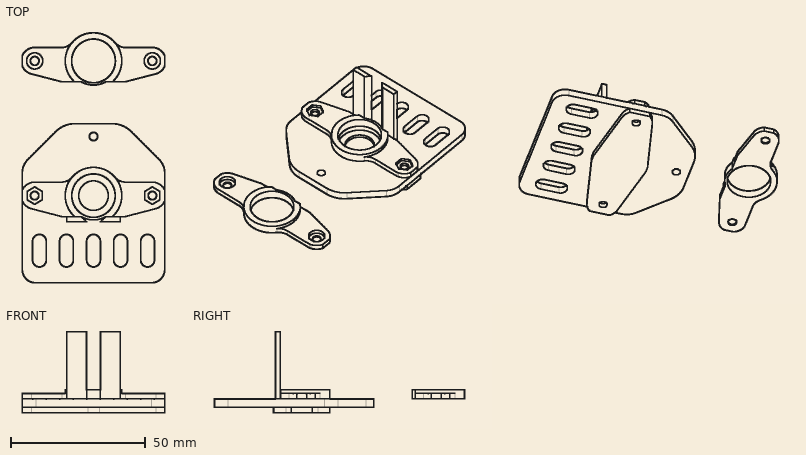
import cadquery as cq
import math

width = 53.0
plate_thickness = 3.2
backing_thickness = 2.0
spare_clamp_y = 50.0
screw_offset_x = 21.8

plate_front_y = -32.4
plate_back_y = 26.8
plate_corner_cut = 15.4
front_corner_radius = 5.0
side_bend_radius = 7.0
back_bend_radius = 10.0
plate_screw_diameter = 3.0
back_hole_y = 21.9
seat_diameter = 16.1
seat_depth = 2.0
floor_hole_diameter = 11.0
slot_count = 5
slot_pitch = 10.0
slot_width = 5.0
slot_length = 12.0
slot_y = -20.4

ring_radius = 10.5
ring_bore_diameter = 16.2
ring_height = 3.4
arm_thickness = 2.0
arm_end_radius = 5.0
arm_fillet_radius = 5.0
clamp_front_y = -7.8
lip_radius = 9.0
clamp_screw_diameter = 3.2
counterbore_diameter = 6.0
counterbore_depth = 1.5
nut_corner_diameter = 6.4
nut_depth = 1.0

backing_end_radius = 6.0

tab_outer_x = 9.9
tab_clearance = 0.1
tab_thickness = 1.9
tab_height = 25.0

screw_points = [(-screw_offset_x, 0), (screw_offset_x, 0)]


def make_plate():
    half_width = width / 2
    side_bend_y = plate_back_y - plate_corner_cut
    back_half_width = half_width - plate_corner_cut
    blank = (
        cq.Workplane("XY", origin=(0, 0, -plate_thickness))
        .moveTo(-half_width, plate_front_y)
        .lineTo(half_width, plate_front_y)
        .lineTo(half_width, side_bend_y)
        .lineTo(back_half_width, plate_back_y)
        .lineTo(-back_half_width, plate_back_y)
        .lineTo(-half_width, side_bend_y)
        .close()
        .extrude(plate_thickness)
    )
    blank = blank.edges("|Z and <Y").fillet(front_corner_radius)
    blank = blank.edges("|Z and >Y").fillet(back_bend_radius)
    for side in (-1, 1):
        bend = cq.selectors.NearestToPointSelector((side * half_width, side_bend_y, -plate_thickness / 2))
        blank = blank.edges("|Z").edges(bend).fillet(side_bend_radius)

    blank = blank.faces(">Z").workplane(origin=(0, 0, 0))
    blank = blank.cboreHole(floor_hole_diameter, seat_diameter, seat_depth)
    screw_holes = screw_points + [(0, back_hole_y)]
    blank = blank.faces(">Z").workplane(origin=(0, 0, 0)).pushPoints(screw_holes).hole(plate_screw_diameter)
    slots = (
        cq.Workplane("XY", origin=(0, slot_y, 0))
        .rarray(slot_pitch, 0.9, slot_count, 1)
        .slot2D(slot_length, slot_width, angle=90)
        .extrude(-plate_thickness)
    )
    return blank.cut(slots)


def tapered_bar(end_radius, thickness):
    """Outline tangent to the ring circle and both end circles, trimmed to the overall width."""
    tilt = math.asin((ring_radius - end_radius) / screw_offset_x)
    ring_x = ring_radius * math.sin(tilt)
    ring_y = ring_radius * math.cos(tilt)
    end_x = screw_offset_x + end_radius * math.sin(tilt)
    end_y = end_radius * math.cos(tilt)
    tip_x = screw_offset_x + end_radius
    bar = (
        cq.Workplane("XY")
        .moveTo(ring_x, ring_y)
        .lineTo(end_x, end_y)
        .threePointArc((tip_x, 0), (end_x, -end_y))
        .lineTo(ring_x, -ring_y)
        .threePointArc((0, -ring_radius), (-ring_x, -ring_y))
        .lineTo(-end_x, -end_y)
        .threePointArc((-tip_x, 0), (-end_x, end_y))
        .lineTo(-ring_x, ring_y)
        .threePointArc((0, ring_radius), (ring_x, ring_y))
        .close()
        .extrude(thickness)
    )
    trim = cq.Workplane("XY").box(width, width, thickness, centered=(True, True, False))
    return bar.intersect(trim)


def make_clamp_blank():
    behind = cq.Workplane("XY").box(
        2 * width, ring_radius, arm_thickness, centered=(True, False, False)
    ).translate((0, arm_end_radius, 0))
    arms = tapered_bar(arm_end_radius, arm_thickness).cut(behind)
    arms = arms.union(cq.Workplane("XY").circle(ring_radius).extrude(arm_thickness))
    joint_x = math.sqrt(ring_radius**2 - arm_end_radius**2)
    for side in (-1, 1):
        joint = cq.selectors.NearestToPointSelector((side * joint_x, arm_end_radius, arm_thickness / 2))
        arms = arms.edges("|Z").edges(joint).fillet(arm_fillet_radius)

    body = arms.union(cq.Workplane("XY").circle(ring_radius).extrude(ring_height))
    front = cq.Workplane("XY").box(
        2 * width, ring_radius, ring_height, centered=(True, False, False)
    ).translate((0, clamp_front_y - ring_radius, 0))
    body = body.cut(front)
    body = body.union(cq.Workplane("XY").circle(lip_radius).extrude(ring_height))
    bore = cq.Workplane("XY").circle(ring_bore_diameter / 2).extrude(ring_height)
    screw_holes = (
        cq.Workplane("XY").pushPoints(screw_points).circle(clamp_screw_diameter / 2).extrude(arm_thickness)
    )
    return body.cut(bore).cut(screw_holes)


def make_nut_clamp():
    clamp = make_clamp_blank()
    for x, y in screw_points:
        pocket = (
            cq.Workplane("XY", origin=(x, y, arm_thickness))
            .transformed(rotate=(0, 0, 90))
            .polygon(6, nut_corner_diameter)
            .extrude(-nut_depth)
        )
        clamp = clamp.cut(pocket)
    return clamp


def make_spare_clamp():
    counterbores = (
        cq.Workplane("XY", origin=(0, 0, arm_thickness))
        .pushPoints(screw_points)
        .circle(counterbore_diameter / 2)
        .extrude(-counterbore_depth)
    )
    return make_clamp_blank().cut(counterbores).translate((0, spare_clamp_y, 0))


def make_backing():
    bar = tapered_bar(backing_end_radius, backing_thickness)
    bar = bar.faces(">Z").workplane(origin=(0, 0, 0)).pushPoints(screw_points).hole(plate_screw_diameter)
    return bar.translate((0, 0, -plate_thickness - backing_thickness))


def make_tab(side):
    inner_x = math.sqrt(lip_radius**2 - clamp_front_y**2)
    back_y = clamp_front_y - tab_clearance
    front_y = back_y - tab_thickness
    return (
        cq.Workplane("XY")
        .moveTo(side * tab_outer_x, back_y)
        .lineTo(side * (inner_x - tab_clearance), back_y)
        .lineTo(side * (inner_x - tab_clearance - tab_thickness), front_y)
        .lineTo(side * tab_outer_x, front_y)
        .close()
        .extrude(tab_height)
    )


plate = make_plate()
nut_clamp = make_nut_clamp()
spare_clamp = make_spare_clamp()
backing = make_backing()
tabs = [make_tab(side).val() for side in (-1, 1)]

result = cq.Compound.makeCompound(
    [plate.val(), nut_clamp.val(), spare_clamp.val(), backing.val(), *tabs]
)